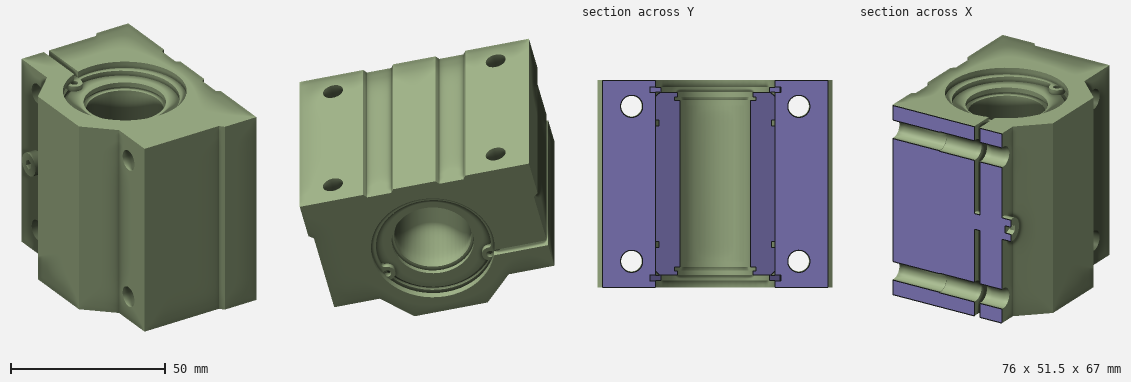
import cadquery as cq
import math


HEIGHT = 67.0
HALF_WIDTH = 38.0
BODY_HALF_WIDTH = 36.5
BASE_Y = 26.0
FLANGE_Y = -16.0
NOSE_Y = -25.5
NOSE_ROOT_HALF_WIDTH = 21.35
NOSE_TIP_HALF_WIDTH = 12.15
BASE_EDGE_HEIGHT = 12.15
BASE_EDGE_BEVEL = 1.3

RELIEF_INNER_X = 7.0
RELIEF_OUTER_X = 16.95
RELIEF_BEVEL = 1.0
RELIEF_DEPTH = 1.3

SLOT_WIDTH = 2.05
SLOT_Y = -6.45

HOLE_X = 27.0
HOLE_Z = 25.0
CLEARANCE_DIAMETER = 7.0
TAPPED_DIAMETER = 6.6
TAPPED_DEPTH = 18.0

SCREW_DIAMETER = 6.0
SCREW_HEAD_DIAMETER = 8.0
SCREW_HEAD_HEIGHT = 3.4
SOCKET_ACROSS_FLATS = 3.0
SOCKET_DEPTH = 2.3

BEARING_DIAMETER = 40.0
BEARING_LENGTH = 59.0
BEARING_CHAMFER = 1.2
SHAFT_DIAMETER = 25.0
MOUTH_DIAMETER = 26.6
MOUTH_DEPTH = 1.5
SEAL_GROOVE_DIAMETER = 28.2
SEAL_GROOVE_WIDTH = 1.0
GROOVE_DIAMETER = 38.0
GROOVE_WIDTH = 1.8
GROOVE_Z = 19.6

RING_DIAMETER = 43.5
RING_THICKNESS = 1.75
RING_INNER_RADIUS = 18.6
RING_INNER_OFFSET = 1.1
EAR_RADIUS = 2.65
EAR_DISTANCE = 19.0
EAR_ANGLE = 26.0
EAR_HOLE_DIAMETER = 2.5
EAR_FILLET = 1.2
GAP_REACH = 3

BEARING_END = BEARING_LENGTH / 2
RING_MIDDLE_Z = BEARING_END + RING_THICKNESS / 2
EAR_X = EAR_DISTANCE * math.cos(math.radians(EAR_ANGLE))
EAR_Y = -EAR_DISTANCE * math.sin(math.radians(EAR_ANGLE))


def cylinder_z(diameter, length, middle_z=0.0):
    """Cylinder on the Z axis, centred at the given height."""
    bottom = cq.Workplane("XY").workplane(offset=middle_z - length / 2)
    return bottom.circle(diameter / 2).extrude(length)


def cylinder_y(diameter, x, z, start_y, end_y):
    """Cylinder parallel to Y between two Y positions."""
    start = cq.Workplane("XZ", origin=(x, start_y, z))
    return start.circle(diameter / 2).extrude(start_y - end_y)


def make_block():
    """Extruded outline of the housing, symmetric about X = 0."""
    relief_y = BASE_Y - RELIEF_DEPTH
    edge_y = BASE_Y - BASE_EDGE_HEIGHT
    right_side = [
        (RELIEF_INNER_X, BASE_Y),
        (RELIEF_INNER_X + RELIEF_BEVEL, relief_y),
        (RELIEF_OUTER_X - RELIEF_BEVEL, relief_y),
        (RELIEF_OUTER_X, BASE_Y),
        (HALF_WIDTH, BASE_Y),
        (HALF_WIDTH, edge_y),
        (BODY_HALF_WIDTH, edge_y - BASE_EDGE_BEVEL),
        (BODY_HALF_WIDTH, FLANGE_Y),
        (NOSE_ROOT_HALF_WIDTH, FLANGE_Y),
        (NOSE_TIP_HALF_WIDTH, NOSE_Y),
    ]
    left_side = [(-x, y) for x, y in reversed(right_side)]
    outline = cq.Workplane("XY").polyline(right_side + left_side).close()
    return outline.extrude(HEIGHT / 2, both=True)


def make_mounting_hole(x, z):
    """Cutter for one stepped through hole."""
    step_y = BASE_Y - TAPPED_DEPTH
    tapped = cylinder_y(TAPPED_DIAMETER, x, z, BASE_Y, step_y)
    clearance = cylinder_y(CLEARANCE_DIAMETER, x, z, step_y, FLANGE_Y)
    return tapped.union(clearance)


def add_clamp_screw(housing):
    """Add the screw shank across the slot and its head with a hexagon socket."""
    head_y = FLANGE_Y - SCREW_HEAD_HEIGHT
    shank = cylinder_y(SCREW_DIAMETER, -HOLE_X, 0, SLOT_Y + SLOT_WIDTH, FLANGE_Y)
    head = cylinder_y(SCREW_HEAD_DIAMETER, -HOLE_X, 0, FLANGE_Y, head_y)
    socket = (
        cq.Workplane("XZ", origin=(-HOLE_X, head_y + SOCKET_DEPTH, 0))
        .transformed(rotate=(0, 0, 90))
        .polygon(6, SOCKET_ACROSS_FLATS / math.cos(math.pi / 6))
        .extrude(SOCKET_DEPTH)
    )
    return housing.union(shank).union(head).cut(socket)


def make_housing():
    """Housing with bore, ring grooves, clamping slot, mounting holes and clamp screw."""
    housing = make_block().cut(cylinder_z(BEARING_DIAMETER, HEIGHT))
    for side in (-1, 1):
        housing = housing.cut(cylinder_z(RING_DIAMETER, RING_THICKNESS, side * RING_MIDDLE_Z))
    slot = cq.Workplane("XY").box(HALF_WIDTH, SLOT_WIDTH, HEIGHT).translate((-HALF_WIDTH / 2, SLOT_Y, 0))
    housing = housing.cut(slot)
    for x in (-HOLE_X, HOLE_X):
        for z in (-HOLE_Z, HOLE_Z):
            housing = housing.cut(make_mounting_hole(x, z))
    return add_clamp_screw(housing)


def make_bearing():
    """Chamfered sleeve; each end has a bore mouth, a seal groove behind it and an outer groove."""
    bearing = cylinder_z(BEARING_DIAMETER, BEARING_LENGTH).edges().chamfer(BEARING_CHAMFER)
    bearing = bearing.cut(cylinder_z(SHAFT_DIAMETER, BEARING_LENGTH))
    for side in (-1, 1):
        mouth_z = side * (BEARING_END - MOUTH_DEPTH / 2)
        bearing = bearing.cut(cylinder_z(MOUTH_DIAMETER, MOUTH_DEPTH, mouth_z))
        seal_z = side * (BEARING_END - MOUTH_DEPTH - SEAL_GROOVE_WIDTH / 2)
        bearing = bearing.cut(cylinder_z(SEAL_GROOVE_DIAMETER, SEAL_GROOVE_WIDTH, seal_z))
        band = cylinder_z(BEARING_DIAMETER, GROOVE_WIDTH, side * GROOVE_Z)
        core = cylinder_z(GROOVE_DIAMETER, GROOVE_WIDTH, side * GROOVE_Z)
        bearing = bearing.cut(band.cut(core))
    return bearing


def make_retaining_ring(side):
    """Internal retaining ring with an off-centre inner edge, open toward -Y between two ears."""
    middle_z = side * RING_MIDDLE_Z
    disc = cylinder_z(RING_DIAMETER, RING_THICKNESS, middle_z)
    inside = cylinder_z(2 * RING_INNER_RADIUS, RING_THICKNESS, middle_z)
    inside = inside.translate((0, -RING_INNER_OFFSET, 0))

    bottom = cq.Workplane("XY").workplane(offset=middle_z - RING_THICKNESS / 2)
    gap_x = GAP_REACH * EAR_X
    gap_y = GAP_REACH * EAR_Y
    gap = bottom.polyline([(0, 0), (gap_x, gap_y), (-gap_x, gap_y)]).close().extrude(RING_THICKNESS)
    ear_centres = bottom.pushPoints([(-EAR_X, EAR_Y), (EAR_X, EAR_Y)])
    ears = ear_centres.circle(EAR_RADIUS).extrude(RING_THICKNESS).intersect(disc)
    ear_holes = ear_centres.circle(EAR_HOLE_DIAMETER / 2).extrude(RING_THICKNESS)

    ring = disc.cut(inside).cut(gap).union(ears)
    for x in (-EAR_X, EAR_X):
        ear_root = cq.selectors.NearestToPointSelector((x, EAR_Y + EAR_RADIUS, middle_z))
        ring = ring.edges("|Z").edges(ear_root).fillet(EAR_FILLET)
    return ring.cut(ear_holes)


housing = make_housing()
bearing = make_bearing()
retaining_rings = [make_retaining_ring(side) for side in (-1, 1)]

result = cq.Compound.makeCompound(
    [housing.val(), bearing.val(), *[ring.val() for ring in retaining_rings]]
)